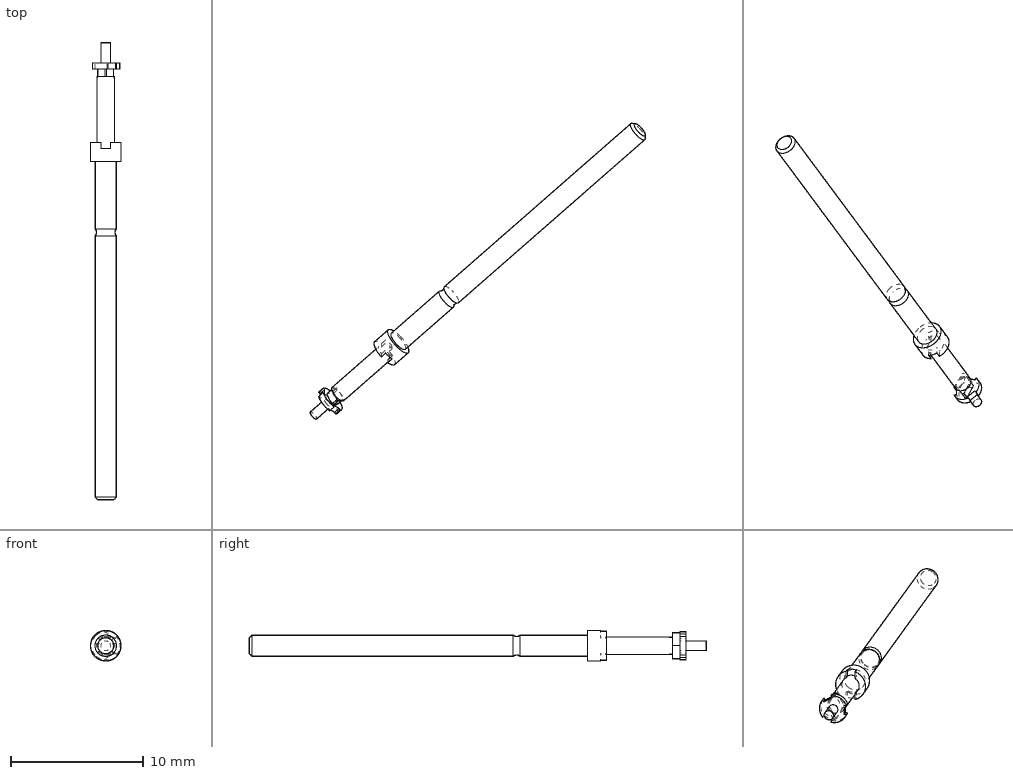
import cadquery as cq

total_length = 34.5
tip_y = total_length / 2

stub_radius = 0.362
stub_length = 1.52
flange_radius = 1.07
flange_thickness = 0.5
key_thickness = 0.55
key_width_x = 1.2
key_width_z = 1.95
key_flat_width = 0.15
plunger_radius = 0.673
plunger_lead_radius = 0.65
plunger_lead_length = 0.4
collar_radius = 1.155
collar_start = 7.52
collar_thickness = 1.45
body_radius = 0.81
groove_middle = 14.32
groove_width = 0.52
groove_depth = 0.1
end_chamfer = 0.2

flange_slot_count = 3
flange_slot_width = 0.72
flange_slot_floor = 0.83
collar_notch_width = 0.7
collar_notch_length = 0.45

flange_start = stub_length
key_start = flange_start + flange_thickness
plunger_start = key_start + key_thickness
collar_end = collar_start + collar_thickness


def on_axis(station):
    """Plane across the probe at a station, local x along +X, normal along -Y."""
    return cq.Workplane("XZ", origin=(0, tip_y - station, 0))


def cylinder(station, length, radius):
    return on_axis(station).circle(radius).extrude(length)


def make_flange():
    """Round flange with equally spaced flat-floored slots in its rim, one facing -X."""
    flange = cylinder(flange_start, flange_thickness, flange_radius)
    slot_depth = collar_radius - flange_slot_floor
    slot_centre = flange_slot_floor + slot_depth / 2
    slots = (
        on_axis(flange_start)
        .polarArray(slot_centre, 180, 360, flange_slot_count)
        .rect(slot_depth, flange_slot_width)
        .extrude(flange_thickness)
    )
    return flange.cut(slots)


def make_key():
    """Block of diamond section, taller along Z than along X, with narrow flats at the tall tips."""
    corners = [
        (key_width_x / 2, 0),
        (key_flat_width / 2, key_width_z / 2),
        (-key_flat_width / 2, key_width_z / 2),
        (-key_width_x / 2, 0),
        (-key_flat_width / 2, -key_width_z / 2),
        (key_flat_width / 2, -key_width_z / 2),
    ]
    return on_axis(key_start).polyline(corners).close().extrude(key_thickness)


def make_plunger():
    """Plunger shaft with a slight lead-in taper, reaching to the back of the collar."""
    lead_end_y = tip_y - plunger_start - plunger_lead_length
    return (
        cq.Workplane("XY")
        .moveTo(0, tip_y - plunger_start)
        .lineTo(plunger_lead_radius, tip_y - plunger_start)
        .lineTo(plunger_radius, lead_end_y)
        .lineTo(plunger_radius, tip_y - collar_end)
        .lineTo(0, tip_y - collar_end)
        .close()
        .revolve(360, (0, 0, 0), (0, 1, 0))
    )


def make_collar():
    """Collar with a notch across its +Y face; the notch stops at the plunger surface."""
    notch = (
        on_axis(collar_start)
        .rect(collar_notch_width, 2 * collar_radius)
        .extrude(collar_notch_length)
    )
    return cylinder(collar_start, collar_thickness, collar_radius).cut(notch)


def make_body():
    """Long barrel with a round-bottomed crimp groove and a chamfered -Y end."""
    groove_y = tip_y - groove_middle
    end_y = tip_y - total_length
    return (
        cq.Workplane("XY")
        .moveTo(0, tip_y - collar_end)
        .lineTo(body_radius, tip_y - collar_end)
        .lineTo(body_radius, groove_y + groove_width / 2)
        .threePointArc(
            (body_radius - groove_depth, groove_y),
            (body_radius, groove_y - groove_width / 2),
        )
        .lineTo(body_radius, end_y + end_chamfer)
        .lineTo(body_radius - end_chamfer, end_y)
        .lineTo(0, end_y)
        .close()
        .revolve(360, (0, 0, 0), (0, 1, 0))
    )


stub = cylinder(0, stub_length, stub_radius)
result = (
    make_body()
    .union(make_collar())
    .union(make_plunger())
    .union(make_key())
    .union(make_flange())
    .union(stub)
)